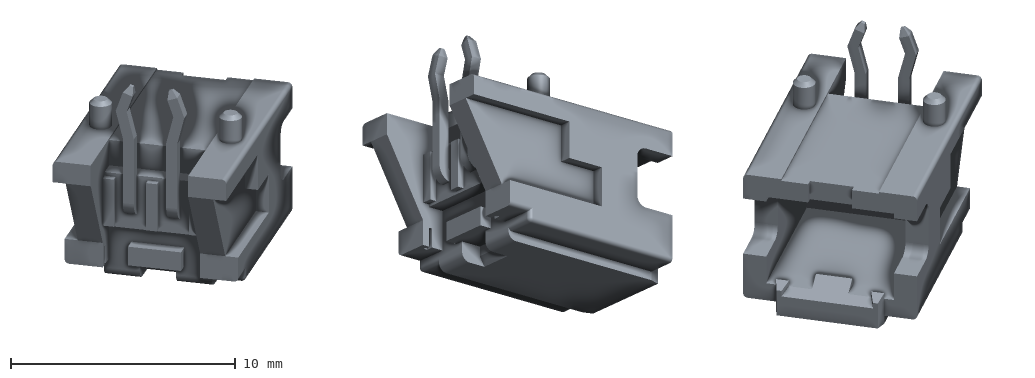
import cadquery as cq
import math


width = 8.0
length = 11.75
lip_length = 0.49
rear_y = length - lip_length
wall_y = 3.15
side_bottom_z = 0.41
side_top_z = 6.71
roof_z = 6.63
edge_radius = 0.2

arm_inner_x = 2.25
upper_arm_bottom_z = 5.7
lower_arm_front_y = 2.05
lower_arm_top_z = 2.09
lower_arm_bottom_z = 0.9

window_depth = 2
window_bottom_z = 2.64
window_top_z = 5.46
window_radius = 0.49

recess_depth = 0.6
recess_upper_y = 5.4
recess_lower_y = 7.25
recess_step_z = 3.96

cavity_half_width = 2.94
cavity_front_y = 4.23
cavity_floor_z = 1.28
cavity_roof_z = upper_arm_bottom_z
roof_notch_half_width = 1.01
roof_notch_depth = 0.3

pad_half_width = 2.49
lip_end_half_width = 2.33
lip_inner_z = 1.56
lip_drop = 0.28
channel_half_width = 1.89
channel_end_half_width = 2.1
center_half_width = 0.83
groove_slope_z = 0.45
groove_depth = 1.0
groove_slope_run = 0.26
ramp_length = 0.7

block_front_y = 2.37
block_bottom_z = 2.8
block_top_z = 5.39
rib_front_y = 2.06
rib_bottom_z = 2.93
rib_top_z = 5.22
rib_width = 0.5
latch_half_width = 1.22
latch_front_y = 2.56
latch_top_z = 1.81
slot_depth = 0.35

post_x = 3.0
post_y = 4.45
post_radius = 0.5
post_top_z = 8.0
post_bevel = 0.19

pin_x = 1.0
pin_size = 0.5
pin_front_y = 1.8
pin_bottom_z = 3.51
pin_root_y = 3.52
pin_elbow_radius = 0.73
pin_kink_start_z = 7.38
pin_kink_z = 8.68
pin_kink_offset = 0.33
pin_lean_angle = 19.5
pin_top_z = 9.9
pin_tip_length = 0.36
pin_tip_size = 0.18


def box(x0, x1, y0, y1, z0, z1):
    """Box between two opposite corners."""
    return cq.Workplane("XY").box(x1 - x0, y1 - y0, z1 - z0, centered=False).translate((x0, y0, z0))


def centered_box(half_width, y0, y1, z0, z1):
    """Box symmetric about X = 0."""
    return box(-half_width, half_width, y0, y1, z0, z1)


def side_prism(points, x0, x1):
    """Prism with a Y-Z outline, reaching from x0 to x1."""
    return cq.Workplane("YZ").polyline(points).close().extrude(x1 - x0).translate((x0, 0, 0))


def plan_prism(points, z0, z1):
    """Prism with an X-Y outline, reaching from z0 to z1."""
    return cq.Workplane("XY").polyline(points).close().extrude(z1 - z0).translate((0, 0, z0))


def both_sides(solid):
    """The solid together with its mirror image across X = 0."""
    return solid.union(solid.mirror("YZ"))


def make_shell():
    """Outer housing with sloping arms, end windows and rounded outer edges."""
    outline = [
        (0, side_top_z),
        (rear_y, side_top_z),
        (rear_y, side_bottom_z),
        (wall_y, side_bottom_z),
        (wall_y, lower_arm_bottom_z),
        (lower_arm_front_y, lower_arm_bottom_z),
        (lower_arm_front_y, lower_arm_top_z),
        (0, upper_arm_bottom_z),
    ]
    shell = side_prism(outline, -width / 2, width / 2)

    long_edges = shell.edges("|Y").edges(">X or <X").vals()
    step_region = cq.selectors.BoxSelector(
        (-width, lower_arm_front_y, 0), (width, length, lower_arm_bottom_z)
    )
    step_edges = shell.edges("|Z").edges(step_region).edges("<Y").vals()
    wall_bottom_edge = shell.edges("|X").edges("<Z").edges("<Y").vals()
    shell = shell.newObject(long_edges + step_edges + wall_bottom_edge).fillet(edge_radius)

    window = centered_box(width, rear_y - window_depth, length, window_bottom_z, window_top_z)
    return shell.cut(window.edges("|X and <Y").fillet(window_radius))


def make_side_recesses():
    outline = [
        (0, upper_arm_bottom_z),
        (recess_upper_y, upper_arm_bottom_z),
        (recess_upper_y, recess_step_z),
        (recess_lower_y, recess_step_z),
        (recess_lower_y, lower_arm_top_z),
        (0, lower_arm_top_z),
    ]
    return both_sides(side_prism(outline, width / 2 - recess_depth, width))


def make_lip():
    """Tapered lip with sloping shoulders and a lower, flared lead-in channel."""
    outline = [
        (-pad_half_width, rear_y),
        (-lip_end_half_width, length),
        (lip_end_half_width, length),
        (pad_half_width, rear_y),
    ]
    lip = plan_prism(outline, 0, lip_inner_z)
    shoulder_slope = [
        (rear_y, lip_inner_z),
        (length, lip_inner_z - lip_drop),
        (length, lip_inner_z),
    ]
    lip = lip.cut(side_prism(shoulder_slope, -width, width))

    flare = [
        (-channel_half_width, rear_y),
        (-channel_end_half_width, length),
        (channel_end_half_width, length),
        (channel_half_width, rear_y),
    ]
    above_channel = [
        (rear_y, cavity_floor_z),
        (length, cavity_floor_z - lip_drop),
        (length, lip_inner_z),
        (rear_y, lip_inner_z),
    ]
    channel = plan_prism(flare, 0, lip_inner_z)
    return lip.cut(channel.intersect(side_prism(above_channel, -width, width)))


def make_ramp():
    """Wedge on the cavity floor that continues the lead-in slope inwards."""
    rise = ramp_length * lip_drop / lip_length
    outline = [
        (rear_y, cavity_floor_z),
        (rear_y - ramp_length, cavity_floor_z + rise),
        (rear_y - ramp_length, cavity_floor_z),
    ]
    return side_prism(outline, -center_half_width, center_half_width)


def make_pad():
    """Raised strip under the floor with a rounded front edge."""
    pad = centered_box(pad_half_width, wall_y, rear_y, 0, lower_arm_bottom_z)
    return pad.edges("|X and <Y and <Z").fillet(side_bottom_z)


def make_groove():
    """Groove under the latch bar that runs out through a sloping end."""
    end_y = wall_y + groove_depth
    outline = [
        (0, 0),
        (end_y + groove_slope_run, 0),
        (end_y, groove_slope_z),
        (end_y, lower_arm_bottom_z),
        (0, lower_arm_bottom_z),
    ]
    return side_prism(outline, -center_half_width, center_half_width)


def make_ribs():
    rib = box(-rib_width / 2, rib_width / 2, rib_front_y, wall_y, rib_bottom_z, rib_top_z)
    side_rib = rib.translate((arm_inner_x - rib_width / 2, 0, 0))
    return rib.union(both_sides(side_rib))


def make_post():
    post = cq.Workplane("XY").circle(post_radius).extrude(post_top_z - cavity_roof_z)
    post = post.faces(">Z").chamfer(post_bevel)
    return post.translate((post_x, post_y, cavity_roof_z))


def make_pin():
    """Pin on the +X side: rooted in the block, turned up, kinked and pointed."""
    half = pin_size / 2
    elbow_top_z = pin_bottom_z + pin_elbow_radius
    elbow_center_y = pin_front_y + pin_elbow_radius
    inner_radius = pin_elbow_radius - pin_size
    elbow = (
        cq.Workplane("YZ")
        .moveTo(pin_root_y, pin_bottom_z)
        .lineTo(elbow_center_y, pin_bottom_z)
        .radiusArc((pin_front_y, elbow_top_z), pin_elbow_radius)
        .lineTo(pin_front_y + pin_size, elbow_top_z)
        .radiusArc((elbow_center_y, pin_bottom_z + pin_size), -inner_radius)
        .lineTo(pin_root_y, pin_bottom_z + pin_size)
        .close()
        .extrude(pin_size)
        .translate((pin_x - half, 0, 0))
    )

    lean = math.radians(pin_lean_angle)
    lean_half = half * math.cos(lean)
    end_z = pin_top_z - pin_tip_length * math.cos(lean) - pin_tip_size / 2 * math.sin(lean)
    kink_x = pin_x + pin_kink_offset
    end_x = kink_x - (end_z - pin_kink_z) * math.tan(lean)
    end_dx = lean_half * math.cos(lean)
    end_dz = lean_half * math.sin(lean)
    outline = [
        (pin_x + half, elbow_top_z),
        (pin_x + half, pin_kink_start_z),
        (kink_x + half, pin_kink_z),
        (end_x + end_dx, end_z + end_dz),
        (end_x - end_dx, end_z - end_dz),
        (kink_x - half, pin_kink_z),
        (pin_x - half, pin_kink_start_z),
        (pin_x - half, elbow_top_z),
    ]
    shaft = cq.Workplane("XZ").polyline(outline).close().extrude(-pin_size)
    shaft = shaft.translate((0, pin_front_y, 0))

    end_plane = cq.Plane(
        origin=(end_x, pin_front_y + half, end_z),
        xDir=(math.cos(lean), 0, math.sin(lean)),
        normal=(-math.sin(lean), 0, math.cos(lean)),
    )
    tip = (
        cq.Workplane(end_plane)
        .rect(2 * lean_half, pin_size)
        .workplane(offset=pin_tip_length)
        .rect(pin_tip_size, pin_tip_size)
        .loft(ruled=True)
    )
    return elbow.union(shaft).union(tip)


housing = make_shell()
housing = housing.cut(centered_box(arm_inner_x, 0, rear_y, roof_z, side_top_z))
housing = housing.cut(centered_box(arm_inner_x, 0, wall_y, 0, side_top_z))
housing = housing.cut(make_side_recesses())
housing = housing.union(make_pad())
cavity = centered_box(cavity_half_width, cavity_front_y, rear_y, cavity_floor_z, cavity_roof_z)
housing = housing.cut(cavity)
roof_notch = centered_box(
    roof_notch_half_width, rear_y - roof_notch_depth, rear_y, cavity_roof_z, side_top_z
)
housing = housing.cut(roof_notch)
housing = housing.cut(make_groove())
arm_slot = box(
    arm_inner_x, arm_inner_x + slot_depth, block_front_y, latch_front_y, lower_arm_bottom_z, latch_top_z
)
housing = housing.cut(both_sides(arm_slot))

block = centered_box(arm_inner_x, block_front_y, cavity_front_y, block_bottom_z, block_top_z)
latch_bar = centered_box(latch_half_width, latch_front_y, wall_y, lower_arm_bottom_z, latch_top_z)
added_parts = [
    make_lip(),
    make_ramp(),
    block,
    make_ribs(),
    latch_bar,
    both_sides(make_post()),
    both_sides(make_pin()),
]
for part in added_parts:
    housing = housing.union(part)

result = housing